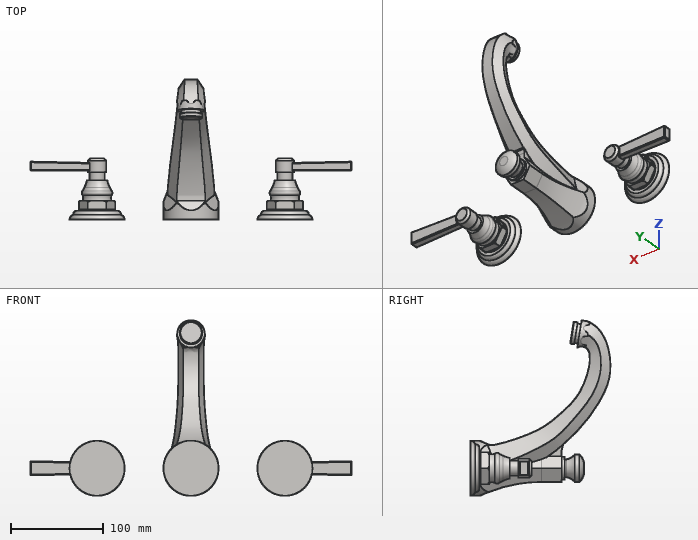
import cadquery as cq
import math


overall_width = 348.0
handle_spacing = 101.5
base_radius = 30.0

body_length = 99.0
body_apothem = 15.0
flare_start = 77.0
flare_radius = 156.5

collar_radius = 12.5
collar_end = 102.0
knob_neck_radius = 9.7
knob_neck_end = 103.7
knob_radius = 15.0
knob_rim_start = 113.0
knob_rim_end = 118.0
knob_cap_radius = 5.5
knob_end = 123.2
knob_swell = 0.7

inner_flat_share = 0.6
outer_flat_share = 0.5
neck_stations = [
    (17.5, 1.7, 0, 24.5, 14.0, 25.8),
    (31.3, 3.5, 7, 22.5, 14.0, 25.5),
    (68.5, 19.5, 38, 19.0, 14.0, 21.5),
    (92.5, 33.8, 49, 17.5, 11.5, 18.5),
    (112.5, 54.0, 67, 15.3, 12.2, 16.0),
    (132.2, 80.5, 85, 14.5, 11.5, 14.3),
    (141.3, 117.3, 93, 12.2, 10.0, 14.0),
    (135.7, 136.5, 130, 12.0, 10.8, 14.3),
    (128.8, 143.5, 150, 13.5, 12.5, 15.3),
    (118.0, 145.5, 171, 15.3, 15.3, 17.5),
]

web_half_width = 9.7
web_floor = 10.5
web_end_height = 19.0
web_tip_y = 100.2
web_tip_z = 25.0

mouth_radius = 15.0
mouth_round_length = 9.0
nozzle_neck_radius = 10.8
nozzle_neck_length = 4.0
nozzle_radius = 12.2
nozzle_length = 8.5
nozzle_chamfer = 0.7

flange_step_radius = 26.0
flange_step = 5.2
flange_top_radius = 22.5
flange_top = 9.7
nut_start = 11.0
nut_end = 20.5
nut_corner_radius = 20.0
nut_chamfer = 1.5
foot_radius = 18.5
waist_radius = 15.3
bulge_start = 26.5
bulge_end = 31.3
bulge_edge_radius = 15.5
bulge_radius = 16.7
shoulder_radius = 14.0
shoulder_height = 34.8
column_top_radius = 11.0
column_top = 42.8
column_hollow = 0.5
spindle_radius = 8.5
hub_start = 51.5
hub_radius = 10.0
hub_end = 66.5
hub_chamfer = 2.8
flange_bulge = 0.7

lever_start = 7.0
lever_end = overall_width / 2 - handle_spacing
lever_front = 53.0
lever_root_thickness = 8.7
lever_tip_thickness = 10.0
lever_root_height = 13.0
lever_tip_height = 15.5
lever_chamfer = 1.0


def revolve_about_y(profile):
    """Turn a closed (radius, Y) profile in the XY plane about the Y axis."""
    return profile.close().revolve(360, (0, 0, 0), (0, 1, 0))


def hexagonal_body():
    """Hexagonal stem that flares along arcs into a round base."""
    flare_drop = flare_radius - math.sqrt(flare_radius**2 - flare_start**2)
    half_sweep = math.asin(flare_start / flare_radius) / 2
    mid_y = flare_start - flare_radius * math.sin(half_sweep)
    mid_z = body_apothem + flare_radius * (1 - math.cos(half_sweep))
    base_apothem = body_apothem + flare_drop
    slab = (
        cq.Workplane("YZ")
        .moveTo(0, base_apothem)
        .threePointArc((mid_y, mid_z), (flare_start, body_apothem))
        .lineTo(body_length, body_apothem)
        .lineTo(body_length, -body_apothem)
        .lineTo(flare_start, -body_apothem)
        .threePointArc((mid_y, -mid_z), (0, -base_apothem))
        .close()
        .extrude(2 * base_radius, both=True)
    )
    body = cq.Workplane("XZ").circle(base_radius).extrude(-body_length)
    for angle in (0, 60, 120):
        body = body.intersect(slab.rotate((0, 0, 0), (0, 1, 0), angle))
    return body


def diverter_knob():
    """Collar and mushroom knob turned on the body axis."""
    profile = (
        cq.Workplane("XY")
        .moveTo(0, flare_start)
        .lineTo(collar_radius, flare_start)
        .lineTo(collar_radius, collar_end)
        .lineTo(knob_neck_radius, collar_end)
        .lineTo(knob_neck_radius, knob_neck_end)
        .threePointArc(
            (
                (knob_neck_radius + knob_radius) / 2 - knob_swell,
                (knob_neck_end + knob_rim_start) / 2 + knob_swell,
            ),
            (knob_radius, knob_rim_start),
        )
        .lineTo(knob_radius, knob_rim_end)
        .threePointArc(
            ((knob_radius + knob_cap_radius) / 2 + knob_swell, (knob_rim_end + knob_end) / 2 + knob_swell),
            (knob_cap_radius, knob_end),
        )
        .lineTo(0, knob_end)
    )
    return revolve_about_y(profile)


def neck_section(ridge_y, ridge_z, lean, inner_depth, outer_depth, ridge_half):
    """Hexagonal wire with its ridges at the sides and flats inside and outside the bend."""
    inward_y = -math.sin(math.radians(lean))
    inward_z = math.cos(math.radians(lean))
    inner_half = inner_flat_share * ridge_half
    outer_half = outer_flat_share * ridge_half
    outline = [
        (inner_half, inner_depth),
        (ridge_half, 0),
        (outer_half, -outer_depth),
        (-outer_half, -outer_depth),
        (-ridge_half, 0),
        (-inner_half, inner_depth),
    ]
    corners = [cq.Vector(x, ridge_y + d * inward_y, ridge_z + d * inward_z) for x, d in outline]
    return cq.Wire.makePolygon(corners, close=True)


def gooseneck():
    """Curved hexagonal neck, rounded at its mouth and ending in a nozzle."""
    neck = cq.Workplane(cq.Solid.makeLoft([neck_section(*station) for station in neck_stations]))
    mouth_y, mouth_z, mouth_lean = neck_stations[-1][:3]
    outward = cq.Vector(0, math.cos(math.radians(mouth_lean)), math.sin(math.radians(mouth_lean)))
    mouth = cq.Workplane(cq.Plane((0, mouth_y, mouth_z), (1, 0, 0), outward))
    trim = mouth.circle(2 * mouth_radius).circle(mouth_radius).extrude(-mouth_round_length)
    nozzle_neck = mouth.circle(nozzle_neck_radius).extrude(nozzle_length)
    ring_start = mouth.workplane(offset=nozzle_neck_length)
    nozzle = ring_start.circle(nozzle_radius).extrude(nozzle_length - nozzle_neck_length)
    nozzle = nozzle.faces("<Y").chamfer(nozzle_chamfer)
    return neck.cut(trim).union(nozzle_neck).union(nozzle)


def crotch_web():
    """Wedge filling the sharp gap where the neck rises off the body."""
    return (
        cq.Workplane("YZ")
        .moveTo(flare_start, web_floor)
        .lineTo(body_length, web_floor)
        .lineTo(body_length, web_end_height)
        .lineTo(web_tip_y, web_tip_z)
        .close()
        .extrude(web_half_width, both=True)
    )


def make_spout():
    """Body, gooseneck, web and knob joined as one solid."""
    return hexagonal_body().union(gooseneck()).union(crotch_web()).union(diverter_knob())


def handle_column():
    """Flange, bulged column, spindle and hub turned about the handle axis."""
    profile = (
        cq.Workplane("XY")
        .moveTo(0, 0)
        .lineTo(base_radius, 0)
        .threePointArc(
            ((base_radius + flange_step_radius) / 2 + flange_bulge, flange_step / 2 + flange_bulge),
            (flange_step_radius, flange_step),
        )
        .threePointArc(
            (
                (flange_step_radius + flange_top_radius) / 2 + flange_bulge,
                (flange_step + flange_top) / 2 + flange_bulge,
            ),
            (flange_top_radius, flange_top),
        )
        .lineTo(foot_radius, flange_top)
        .lineTo(foot_radius, nut_start)
        .lineTo(bulge_edge_radius, nut_start)
        .lineTo(bulge_edge_radius, nut_end)
        .threePointArc((waist_radius, (nut_end + bulge_start) / 2), (bulge_edge_radius, bulge_start))
        .threePointArc((bulge_radius, (bulge_start + bulge_end) / 2), (bulge_edge_radius, bulge_end))
        .lineTo(shoulder_radius, shoulder_height)
        .threePointArc(
            ((shoulder_radius + column_top_radius) / 2 - column_hollow, (shoulder_height + column_top) / 2),
            (column_top_radius, column_top),
        )
        .lineTo(spindle_radius, column_top)
        .lineTo(spindle_radius, hub_start)
        .lineTo(hub_radius, hub_start)
        .lineTo(hub_radius, hub_end - hub_chamfer)
        .lineTo(hub_radius - hub_chamfer, hub_end)
        .lineTo(0, hub_end)
    )
    return revolve_about_y(profile)


def handle_nut():
    """Hexagonal nut with corners pointing along X, bevelled on its outer end."""
    nut = cq.Workplane("XZ", origin=(0, nut_start, 0)).polygon(6, 2 * nut_corner_radius)
    nut = nut.extrude(nut_start - nut_end)
    blank = cq.Workplane("XZ", origin=(0, nut_start, 0)).circle(nut_corner_radius)
    blank = blank.extrude(nut_start - nut_end).faces(">Y").chamfer(nut_chamfer)
    return nut.intersect(blank)


def handle_lever():
    """Tapered bar along +X, deepest at its tip, with chamfered long edges and tip."""
    root_y = lever_front + lever_root_thickness / 2
    rise = (lever_tip_thickness - lever_root_thickness) / 2
    return (
        cq.Workplane("YZ", origin=(lever_start, root_y, 0))
        .rect(lever_root_thickness, lever_root_height)
        .workplane(offset=lever_end - lever_start)
        .center(rise, 0)
        .rect(lever_tip_thickness, lever_tip_height)
        .loft(ruled=True)
        .edges("not <X")
        .chamfer(lever_chamfer)
    )


def make_handle(side):
    """Handle with its lever pointing outwards; side is -1 or +1 along X."""
    handle = handle_column().union(handle_nut()).union(handle_lever())
    if side < 0:
        handle = handle.mirror("YZ")
    return handle.translate((side * handle_spacing, 0, 0))


spout = make_spout()
handles = [make_handle(side) for side in (-1, 1)]

result = cq.Compound.makeCompound([spout.val(), *(handle.val() for handle in handles)])